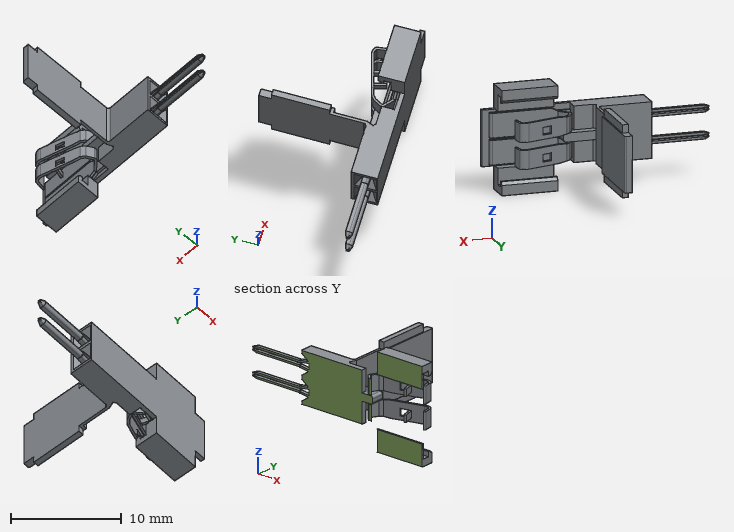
import cadquery as cq
import math


housing_start = 5.82
lid_hinge_x = 10.87
ledge_end = 12.96
divider_end = 14.22
wing_start = 14.73
wing_end = 20.06
housing_end = 21.32

floor_top = 0.45
ledge_top = 1.66
housing_top = 2.5
housing_half_width = 2.66
divider_half_width = 0.43
divider_round = 0.25
slant_foot = 0.25
slant_run = 0.25
slant_height = 0.65

wing_half_span = 4.95
slot_outer = 4.2
slot_bottom = 1.28
hook_bottom = 1.98
hook_tip = 3.69
hook_chamfer = 0.28

lid_top = 12.65
lid_half_width = housing_half_width
lid_thickness = 0.7
lid_rim_bottom = 5.67
lid_top_round = 0.15
lid_tilt = 0.5
tab_bottom = 5.97
tab_top = 11.45
tab_half_width = 3.43
tab_thickness = 0.58
hinge_thickness = 0.28
hinge_fillet = 0.25

contact_pitch = 2.54
sheet = 0.23
pin_size = 0.66
pin_axis_y = 1.15
pin_round = 0.3
pin_end = 5.59
tip_length = 0.47
tip_size = 0.32
tip_round = 0.13
leg_step = 0.05
leg_flare = 0.17

funnel_mouth_width = 2.13
funnel_mouth_height = 2.1
funnel_throat = 0.83
funnel_depth = 0.85

fold_gap = 0.05
fold_end = 20.7
base_half_width = 1.15
bend_half_width = 0.8
arm_half_width = 0.9
flare_end = 14.82
spring_bend = (13.25, 1.75)
arm_foot = (13.75, 2.55)
arm_start = (14.11, 2.84)
arm_slope = 16.0
arm_straight_end_x = 18.02
arm_tip = (18.85, 2.92)
nose_end = (18.72, 3.8)
window_start = 15.67
window_length = 0.92
tongue_length = 1.28
window_half_width = 0.36
window_offset = -0.13


def box(x_range, y_range, z_range):
    """Box between the given limits."""
    sizes = [high - low for low, high in (x_range, y_range, z_range)]
    corner = (x_range[0], y_range[0], z_range[0])
    return cq.Workplane("XY").box(*sizes, centered=False).translate(corner)


def prism(profile, half_width):
    """Extrude an XY profile symmetrically about Z = 0."""
    return profile.extrude(half_width, both=True)


def make_housing():
    low_profile = (
        cq.Workplane("XY")
        .moveTo(housing_start, 0)
        .lineTo(housing_end, 0)
        .lineTo(housing_end, floor_top)
        .lineTo(ledge_end, floor_top)
        .lineTo(ledge_end, ledge_top)
        .lineTo(lid_hinge_x + slant_foot, ledge_top)
        .lineTo(lid_hinge_x, housing_top - slant_height)
        .lineTo(lid_hinge_x + slant_run, housing_top)
        .lineTo(housing_start, housing_top)
        .close()
    )
    housing = prism(low_profile, housing_half_width)
    divider = box(
        (lid_hinge_x, divider_end), (0, housing_top), (-divider_half_width, divider_half_width)
    )
    divider = divider.edges(">X and |Y").fillet(divider_round)
    return housing.union(divider)


def make_wing():
    """Latching wing on the +Z side, a hooked channel running along X."""
    hook = (
        cq.Workplane("YZ", origin=(wing_start, 0, 0))
        .moveTo(0, housing_half_width)
        .lineTo(0, wing_half_span)
        .lineTo(housing_top, wing_half_span)
        .lineTo(housing_top, hook_tip + hook_chamfer)
        .lineTo(housing_top - hook_chamfer, hook_tip)
        .lineTo(hook_bottom, hook_tip)
        .lineTo(hook_bottom, slot_outer)
        .lineTo(slot_bottom, slot_outer)
        .lineTo(slot_bottom, housing_half_width)
        .close()
    )
    return hook.extrude(wing_end - wing_start)


def make_lid():
    """Lid panel on its thin hinge strip, leaning slightly towards +X."""
    panel_profile = (
        cq.Workplane("XY")
        .moveTo(lid_hinge_x, housing_top - slant_height)
        .lineTo(lid_hinge_x, lid_top)
        .lineTo(lid_hinge_x + lid_thickness, lid_top)
        .lineTo(lid_hinge_x + lid_thickness, lid_rim_bottom)
        .lineTo(lid_hinge_x + hinge_thickness, lid_rim_bottom)
        .lineTo(lid_hinge_x + hinge_thickness, housing_top)
        .close()
    )
    panel = prism(panel_profile, lid_half_width)
    panel = panel.edges(">X and >Y").fillet(lid_top_round)
    tabs = box(
        (lid_hinge_x, lid_hinge_x + tab_thickness),
        (tab_bottom, tab_top),
        (-tab_half_width, tab_half_width),
    )
    hinge_axis = ((lid_hinge_x, housing_top, 0), (lid_hinge_x, housing_top, 1))
    lid = panel.union(tabs).rotate(*hinge_axis, -lid_tilt)
    root_profile = (
        cq.Workplane("XY")
        .moveTo(lid_hinge_x - hinge_fillet, housing_top)
        .radiusArc((lid_hinge_x, housing_top + hinge_fillet), -hinge_fillet)
        .lineTo(lid_hinge_x + hinge_fillet, housing_top)
        .close()
    )
    return lid.union(prism(root_profile, lid_half_width))


def pin_section(x, size, corner):
    """Square section with its two lower corners rounded, in the plane at x."""
    half = size / 2
    return (
        cq.Workplane("YZ", origin=(x, pin_axis_y, 0))
        .moveTo(half, -half)
        .lineTo(half, half)
        .lineTo(corner - half, half)
        .radiusArc((-half, half - corner), -corner)
        .lineTo(-half, corner - half)
        .radiusArc((corner - half, -half), -corner)
        .close()
    )


def leg_section(x, side, spread):
    """Section of one fold leg, moved outwards by spread, as a wire in the plane at x."""
    half = pin_size / 2
    inner = half - sheet
    leg = (
        cq.Workplane("YZ", origin=(x, pin_axis_y, side * spread))
        .moveTo(half, side * inner)
        .lineTo(half, side * half)
        .lineTo(sheet - half, side * half)
        .radiusArc((-half, side * inner), -side * sheet)
        .close()
    )
    return leg.wires().val()


def make_pin():
    """Pin folded into a U that opens upwards, with legs spreading into the housing."""
    half = pin_size / 2
    slit_half = half - sheet
    shank = pin_section(tip_length, pin_size, pin_round).extrude(pin_end - tip_length)
    tip_wires = [
        pin_section(0, tip_size, tip_round).wires().val(),
        pin_section(tip_length, pin_size, pin_round).wires().val(),
    ]
    tip = cq.Workplane(cq.Solid.makeLoft(tip_wires, True))
    slit_heights = (pin_axis_y - half + sheet, pin_axis_y + half)
    slit = box((0, pin_end), slit_heights, (-slit_half, slit_half))
    pin = shank.union(tip).cut(slit)
    leg_root = housing_start + funnel_depth + sheet
    for side in (1, -1):
        leg_wires = [
            leg_section(pin_end, side, leg_step),
            leg_section(leg_root, side, leg_step + leg_flare),
        ]
        pin = pin.union(cq.Workplane(cq.Solid.makeLoft(leg_wires, True)))
    return pin


def make_funnel():
    """Tapered opening around a pin, to be cut from the housing front."""
    return (
        cq.Workplane("YZ", origin=(housing_start, pin_axis_y, 0))
        .rect(funnel_mouth_height, funnel_mouth_width)
        .workplane(offset=funnel_depth)
        .rect(funnel_throat, funnel_throat)
        .loft(ruled=True)
    )


def arm_point(x):
    """Point on the centre line of the straight spring arm."""
    rise = (x - arm_start[0]) * math.tan(math.radians(arm_slope))
    return (x, arm_start[1] + rise)


def plan_prism(outline, y_range):
    """Prism over an XZ outline given on its +Z side and mirrored about Z = 0."""
    mirrored = [(x, -z) for x, z in reversed(outline)]
    low, high = y_range
    plan = cq.Workplane("XZ", origin=(0, high, 0)).polyline(outline + mirrored).close()
    return plan.extrude(high - low)


def make_spring():
    """Strip folded back on the floor, then bent up and over into the spring arm."""
    lower_y = floor_top + sheet / 2
    upper_y = lower_y + sheet + fold_gap
    fold_radius = (upper_y - lower_y) / 2
    fold_start = fold_end - sheet / 2 - fold_radius
    path = (
        cq.Workplane("XY")
        .moveTo(ledge_end - sheet, lower_y)
        .lineTo(fold_start, lower_y)
        .threePointArc((fold_start + fold_radius, lower_y + fold_radius), (fold_start, upper_y))
        .lineTo(divider_end, upper_y)
        .lineTo(spring_bend[0] + sheet / 2, spring_bend[1] - sheet / 2)
        .lineTo(spring_bend[0] + sheet / 2, spring_bend[1] + sheet / 2)
        .lineTo(*arm_foot)
        .lineTo(*arm_start)
        .lineTo(*arm_point(arm_straight_end_x))
        .tangentArcPoint(nose_end, relative=False)
        .lineTo(*arm_tip)
    )
    strip = prism(path.wire().offset2D(sheet / 2), base_half_width)

    beyond = housing_end
    base_plan = [
        (lid_hinge_x, bend_half_width),
        (divider_end, bend_half_width),
        (flare_end, base_half_width),
        (beyond, base_half_width),
    ]
    arm_plan = [
        (lid_hinge_x, bend_half_width),
        (arm_start[0], bend_half_width),
        (flare_end, arm_half_width),
        (beyond, arm_half_width),
    ]
    envelope = plan_prism(base_plan, (0, spring_bend[1]))
    envelope = envelope.union(plan_prism(arm_plan, (spring_bend[1], lid_top)))
    strip = strip.intersect(envelope)

    arm_frame = cq.Plane(
        origin=(*arm_point(window_start), window_offset),
        xDir=(math.cos(math.radians(arm_slope)), math.sin(math.radians(arm_slope)), 0),
        normal=(0, 0, 1),
    )
    window_width = 2 * window_half_width
    window = (
        cq.Workplane(arm_frame)
        .center(window_length / 2, 0)
        .box(window_length, 2 * sheet, window_width)
    )
    tongue = (
        cq.Workplane(arm_frame)
        .center(window_length + sheet / 2, -tongue_length / 2)
        .box(sheet, tongue_length, window_width)
    )
    return strip.cut(window).union(tongue)


result = make_housing()
wing = make_wing()
result = result.union(wing).union(wing.mirror("XY"))
result = result.union(make_lid())

for contact_z in (contact_pitch / 2, -contact_pitch / 2):
    place = (0, 0, contact_z)
    result = result.cut(make_funnel().translate(place))
    result = result.union(make_pin().translate(place))
    result = result.union(make_spring().translate(place))